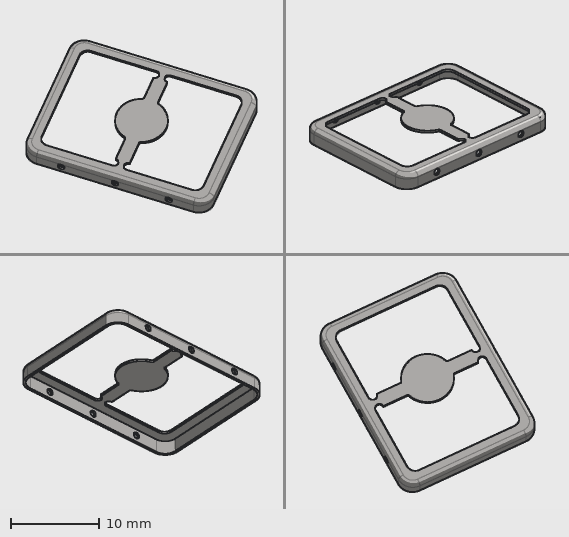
import cadquery as cq

length = 22.6
width = 17.1
height = 2.0
corner_radius = 1.8
top_edge_radius = 0.6

wall_thickness = 0.3
plate_thickness = 0.3

rim_width = 1.51
window_corner_radius = 1.0
window_length = length - 2 * rim_width
window_width = width - 2 * rim_width

disc_radius = 3.0
stem_width = 1.7
stem_fillet_radius = 0.23
notch_radius = 0.5

hole_diameter = 0.8
hole_spacing = 6.5
hole_height = 0.88


def rounded_block(size_x, size_y, size_z, radius):
    """Block with rounded vertical edges, standing on Z = 0."""
    block = cq.Workplane("XY").rect(size_x, size_y).extrude(size_z)
    return block.edges("|Z").fillet(radius)


def make_shell():
    """Tray turned upside down, with a rounded upper outer edge."""
    outer = rounded_block(length, width, height, corner_radius).faces(">Z").edges().fillet(top_edge_radius)
    cavity = rounded_block(
        length - 2 * wall_thickness,
        width - 2 * wall_thickness,
        height - plate_thickness,
        corner_radius - wall_thickness,
    )
    return outer.cut(cavity)


def make_bridge():
    """Disc and stem as thick as the top plate, notched where the stem meets the rim."""
    plate = cq.Workplane("XY").workplane(offset=height - plate_thickness)
    stem = plate.rect(stem_width, window_width + rim_width).extrude(plate_thickness)
    bridge = plate.circle(disc_radius).extrude(plate_thickness).union(stem)
    stem_joints = cq.selectors.BoxSelector(
        (-stem_width, -disc_radius, 0), (stem_width, disc_radius, height)
    )
    bridge = bridge.edges("|Z").edges(stem_joints).fillet(stem_fillet_radius)
    notch_x = stem_width / 2
    notch_y = window_width / 2 - notch_radius
    notch_centers = [(sx * notch_x, sy * notch_y) for sx in (-1, 1) for sy in (-1, 1)]
    notches = plate.pushPoints(notch_centers).circle(notch_radius).extrude(plate_thickness)
    return bridge.cut(notches)


def make_side_holes():
    """Row of three holes running along Y through both long walls."""
    centers = [(i * hole_spacing, hole_height) for i in (-1, 0, 1)]
    return cq.Workplane("XZ").pushPoints(centers).circle(hole_diameter / 2).extrude(width, both=True)


window = rounded_block(window_length, window_width, height, window_corner_radius)
result = make_shell().cut(window).union(make_bridge()).cut(make_side_holes())